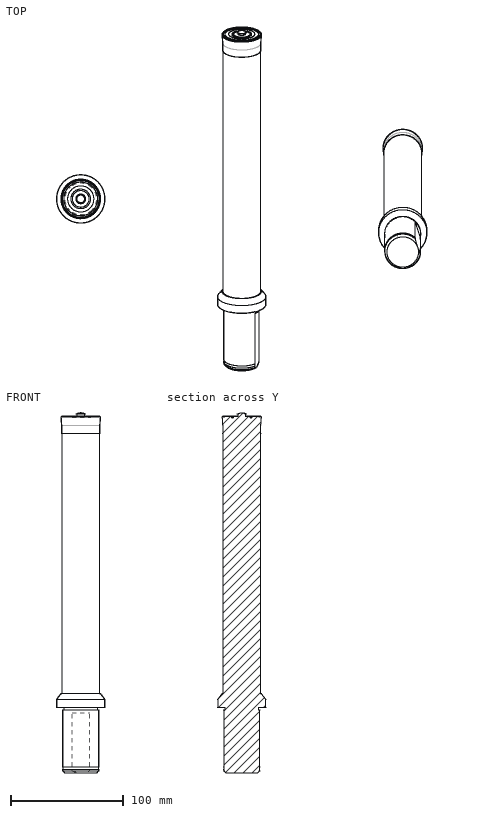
import cadquery as cq

total_height = 319.55
undercut_bottom = 56.0
collar_bottom = 58.0
collar_shoulder = 65.5
collar_top = 70.5
band_bottom = 301.0
band_top = 308.0
cap_top = 316.5

stem_radius = 16.0
undercut_radius = 15.0
collar_radius = 21.5
collar_top_radius = 17.5
tube_radius = 16.7
band_radius = 17.0

foot_chamfer = 2.0
foot_groove_bottom = 3.4
foot_groove_top = 5.5
foot_groove_depth = 0.1

flat_offset = 14.0
flat_top = 53.5

lip_radius = 17.6
lip_chamfer = 0.8

cap_recesses = [
    (7.4, 8.7, 1.2),
    (8.7, 11.6, 0.2),
    (14.9, 16.3, 0.5),
]

button_neck_radius = 3.4
button_radius = 4.3
button_neck_height = 1.7


def revolve_about_z(profile):
    """Turn a closed half profile, drawn in radius and height, into a solid."""
    return profile.close().revolve(360, (0, 0, 0), (0, 1, 0))


def ring(inner_radius, outer_radius, bottom, top):
    """Make a flat ring around the Z axis."""
    plane = cq.Workplane("XY").workplane(offset=bottom)
    return plane.circle(outer_radius).circle(inner_radius).extrude(top - bottom)


def make_body():
    """Stem, collar, tube and cap, turned as one piece."""
    profile = cq.Workplane("XZ").polyline([
        (0, 0),
        (stem_radius - foot_chamfer, 0),
        (stem_radius, foot_chamfer),
        (stem_radius, undercut_bottom),
        (undercut_radius, undercut_bottom),
        (undercut_radius, collar_bottom),
        (collar_radius, collar_bottom),
        (collar_radius, collar_shoulder),
        (collar_top_radius, collar_top),
        (tube_radius, collar_top),
        (tube_radius, band_bottom),
        (band_radius, band_bottom),
        (band_radius, band_top),
        (lip_radius, cap_top - lip_chamfer),
        (lip_radius - lip_chamfer, cap_top),
        (0, cap_top),
    ])
    return revolve_about_z(profile)


def make_button():
    """Neck carrying a wider shallow dome that comes down to a sharp rim."""
    rim = cap_top + button_neck_height
    dome_height = total_height - rim
    dome_radius = (button_radius**2 + dome_height**2) / (2 * dome_height)
    middle_radius = button_radius / 2
    middle_height = total_height - dome_radius + (dome_radius**2 - middle_radius**2) ** 0.5
    profile = (
        cq.Workplane("XZ")
        .moveTo(0, cap_top)
        .lineTo(button_neck_radius, cap_top)
        .lineTo(button_neck_radius, rim)
        .lineTo(button_radius, rim)
        .threePointArc((middle_radius, middle_height), (0, total_height))
    )
    return revolve_about_z(profile)


def make_flat_cutter():
    """Block that removes the +Y side of the stem below the flat's top."""
    block = cq.Workplane("XY").box(
        2 * stem_radius, stem_radius, flat_top, centered=(True, False, False)
    )
    return block.translate((0, flat_offset, 0))


def make_foot_groove_cutter():
    """Ring that cuts the shallow groove near the foot."""
    inner_radius = stem_radius - foot_groove_depth
    return ring(inner_radius, collar_radius, foot_groove_bottom, foot_groove_top)


result = make_body().union(make_button())
result = result.cut(make_flat_cutter())
result = result.cut(make_foot_groove_cutter())
for inner_radius, outer_radius, depth in cap_recesses:
    result = result.cut(ring(inner_radius, outer_radius, cap_top - depth, cap_top))